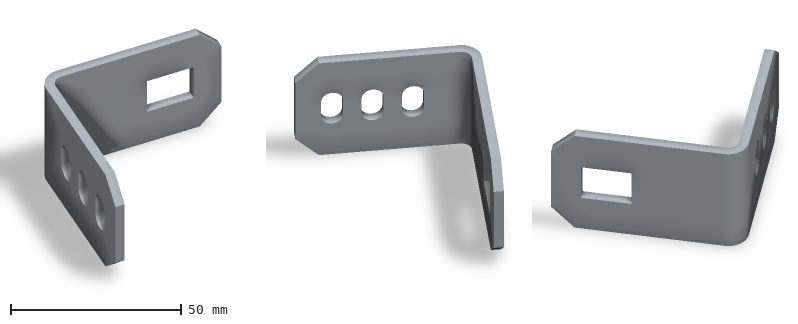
import cadquery as cq

length_x = 55.0
length_y = 58.0
height = 36.0
thickness = 3.0
inner_bend_radius = 3.15
outer_bend_radius = inner_bend_radius + thickness
corner_chamfer = 7.0

slot_count = 3
slot_pitch = 12.0
slot_width = 6.5
slot_height = 12.0
middle_slot_x = 32.1

window_length = 15.15
window_height = 12.0
window_end_margin = 8.9


def bent_strip():
    """L-shaped strip with its outer corner at the origin, centred on Z = 0."""
    strip = (
        cq.Workplane("XY")
        .polyline([
            (0, 0),
            (length_x, 0),
            (length_x, thickness),
            (thickness, thickness),
            (thickness, length_y),
            (0, length_y),
        ])
        .close()
        .extrude(height / 2, both=True)
    )
    inner_edge = cq.selectors.NearestToPointSelector((thickness, thickness, 0))
    outer_edge = cq.selectors.NearestToPointSelector((0, 0, 0))
    strip = strip.edges(inner_edge).fillet(inner_bend_radius)
    return strip.edges(outer_edge).fillet(outer_bend_radius)


def chamfer_free_corners(strip):
    """Cut off the top and bottom corners at the free end of each plate."""
    strip = strip.faces(">X").edges("|Y").chamfer(corner_chamfer)
    return strip.faces(">Y").edges("|X").chamfer(corner_chamfer)


def slot_cutter():
    return (
        cq.Workplane("XZ")
        .center(middle_slot_x, 0)
        .rarray(slot_pitch, 0.6, slot_count, 1)
        .slot2D(slot_height, slot_width, 90)
        .extrude(-thickness)
    )


def window_cutter():
    window_y = length_y - window_end_margin - window_length / 2
    return (
        cq.Workplane("YZ")
        .center(window_y, 0)
        .rect(window_length, window_height)
        .extrude(thickness)
    )


bracket = chamfer_free_corners(bent_strip())
result = bracket.cut(slot_cutter()).cut(window_cutter())